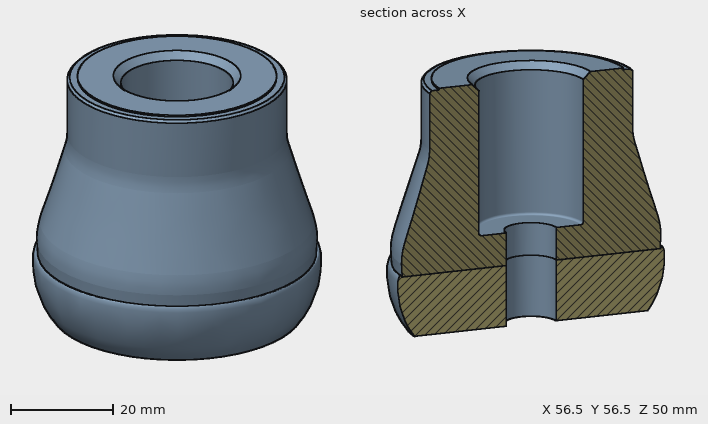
import cadquery as cq
import math

FOOT_RADIUS = 28.25
FOOT_CREST_Z = 12.8
FOOT_SEAT_Z = 12.45
FOOT_BASE_RADIUS = 24.65
FOOT_WIDEST_Z = 10.85
FOOT_FLANK_RADIUS = 26.4
FOOT_FLANK_Z = 2.7
FOOT_SHOULDER_RADIUS = 27.75
FOOT_SHOULDER_Z = 6.35
FOOT_RIM_RADIUS = 28.1
FOOT_RIM_Z = 12.15
FOOT_CREST_RADIUS = 27.7

TOTAL_HEIGHT = 50.0
SKIRT_RADIUS = 27.5
SKIRT_BOTTOM_RADIUS = 27.3
SKIRT_TOP_Z = 15.05
COLLAR_RADIUS = 43.0 / 2
COLLAR_BOTTOM_Z = 37.65
CONE_ANGLE = math.radians(17.5)
SKIRT_BLEND_HEIGHT = 4.0
COLLAR_BLEND_HEIGHT = 3.2
COLLAR_CHAMFER = 0.5
LAND_RADIUS = 39 / 2
LAND_HEIGHT = 0.35

BORE_RADIUS = 22.0 / 2
BORE_FLOOR_Z = SKIRT_TOP_Z + SKIRT_BLEND_HEIGHT
BORE_MOUTH_CHAMFER = 1.45
BORE_FLOOR_FILLET = 0.5
THROUGH_HOLE_RADIUS = 10.5 / 2


def revolve_about_z(profile):
    return profile.close().revolve(360, (0, 0, 0), (0, 1, 0))


def make_foot():
    side_points = [
        (FOOT_FLANK_RADIUS, FOOT_FLANK_Z),
        (FOOT_SHOULDER_RADIUS, FOOT_SHOULDER_Z),
        (FOOT_RADIUS, FOOT_WIDEST_Z),
        (FOOT_RIM_RADIUS, FOOT_RIM_Z),
        (FOOT_CREST_RADIUS, FOOT_CREST_Z),
        (SKIRT_BOTTOM_RADIUS, FOOT_SEAT_Z),
    ]
    profile = (
        cq.Workplane("XZ")
        .moveTo(THROUGH_HOLE_RADIUS, 0)
        .lineTo(FOOT_BASE_RADIUS, 0)
        .spline(side_points, includeCurrent=True)
        .lineTo(THROUGH_HOLE_RADIUS, FOOT_SEAT_Z)
    )
    return revolve_about_z(profile)


def make_housing_blank():
    skirt_blend_radius = SKIRT_BLEND_HEIGHT / math.sin(CONE_ANGLE)
    collar_blend_radius = COLLAR_BLEND_HEIGHT / math.sin(CONE_ANGLE)
    inset_ratio = 1 - math.cos(CONE_ANGLE)
    bell_bottom = (
        SKIRT_RADIUS - skirt_blend_radius * inset_ratio,
        SKIRT_TOP_Z + SKIRT_BLEND_HEIGHT,
    )
    bell_top = (
        COLLAR_RADIUS + collar_blend_radius * inset_ratio,
        COLLAR_BOTTOM_Z - COLLAR_BLEND_HEIGHT,
    )
    shoulder_z = TOTAL_HEIGHT - LAND_HEIGHT
    profile = (
        cq.Workplane("XZ")
        .moveTo(0, FOOT_SEAT_Z)
        .lineTo(SKIRT_BOTTOM_RADIUS, FOOT_SEAT_Z)
        .lineTo(SKIRT_RADIUS, SKIRT_TOP_Z)
        .radiusArc(bell_bottom, -skirt_blend_radius)
        .lineTo(*bell_top)
        .radiusArc((COLLAR_RADIUS, COLLAR_BOTTOM_Z), collar_blend_radius)
        .lineTo(COLLAR_RADIUS, shoulder_z - COLLAR_CHAMFER)
        .lineTo(COLLAR_RADIUS - COLLAR_CHAMFER, shoulder_z)
        .lineTo(LAND_RADIUS, shoulder_z)
        .lineTo(LAND_RADIUS, TOTAL_HEIGHT)
        .lineTo(0, TOTAL_HEIGHT)
    )
    return revolve_about_z(profile)


def make_housing_opening():
    """Through hole, wider bore with a filleted floor, and chamfered mouth."""
    fillet_top = (BORE_RADIUS, BORE_FLOOR_Z + BORE_FLOOR_FILLET)
    profile = (
        cq.Workplane("XZ")
        .moveTo(0, FOOT_SEAT_Z)
        .lineTo(THROUGH_HOLE_RADIUS, FOOT_SEAT_Z)
        .lineTo(THROUGH_HOLE_RADIUS, BORE_FLOOR_Z)
        .lineTo(BORE_RADIUS - BORE_FLOOR_FILLET, BORE_FLOOR_Z)
        .radiusArc(fillet_top, -BORE_FLOOR_FILLET)
        .lineTo(BORE_RADIUS, TOTAL_HEIGHT - BORE_MOUTH_CHAMFER)
        .lineTo(BORE_RADIUS + BORE_MOUTH_CHAMFER, TOTAL_HEIGHT)
        .lineTo(0, TOTAL_HEIGHT)
    )
    return revolve_about_z(profile)


foot = make_foot()
housing = make_housing_blank().cut(make_housing_opening())

result = cq.Compound.makeCompound([foot.val(), housing.val()])